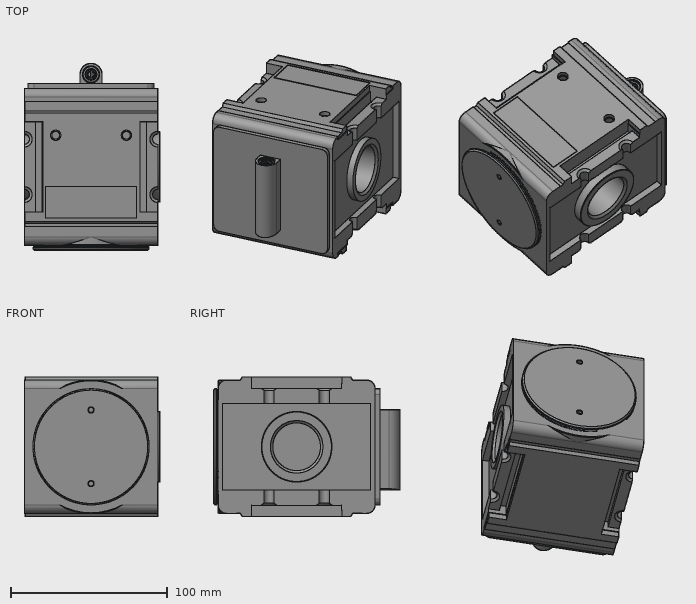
import cadquery as cq
import math

BODY_WIDTH = 85.0
BODY_DEPTH = 100.0
BODY_HEIGHT = 85.0
CORNER_RADIUS = 5.5
HALF_WIDTH = BODY_WIDTH / 2
HALF_HEIGHT = BODY_HEIGHT / 2

PAD_RISE = 2.0
PAD_FRONT = 14.0
PAD_BACK = 85.7
PAD_SLOPE = 1.3
PAD_TOP = HALF_HEIGHT + PAD_RISE

RELIEF_FRONT = 11.9
RELIEF_BACK = 91.6
RELIEF_LEVEL = 40.3
RELIEF_STEP = 0.5

BAND_DROP = 0.1
BAND_LEVEL = HALF_HEIGHT - BAND_DROP

SLOT_FRONT = 21.3
SLOT_BACK = 78.4
SLOT_FLOOR = 37.2
SLOT_INNER_X = 31.0
TRENCH_OUTER_X = 35.3
TRENCH_FLOOR = 32.5

BOLT_DIAMETER = 6.5
BOLT_SINK_DIAMETER = 10.0
BOLT_SINK_DEPTH = 1.3
BOLT_PLACES_Y = (32.4, 67.6)

POCKET_FRONT = 2.9
POCKET_BACK = 96.9
POCKET_HALF_HEIGHT = 27.5
POCKET_DEPTH = 4.3
PORT_Y = 50.0
LEFT_RING_DIAMETER = 41.0
RIGHT_RING_DIAMETER = 45.0
RIGHT_RING_RISE = 1.5
RIGHT_RING_CHAMFER = 0.4
BORE_DIAMETER = 30.3
BORE_DEPTH = 17.5
BORE_CHAMFER = 1.5

TAP_DIAMETER = 5.0
TAP_MOUTH_DIAMETER = 6.5
TAP_MOUTH_DEPTH = 2.9
TAP_DEPTH = 7.1
TAP_X = 22.5
TAP_Y = 70.1
LABEL_WIDTH = 58.1
LABEL_FRONT = 17.5
LABEL_BACK = 37.5
LABEL_DEPTH = 0.4

FLANGE_CHAMFER = 0.5
NECK_DIAMETER = 60.0
NECK_LENGTH = 0.7
CAP_DIAMETER = 74.0
CAP_THICKNESS = 2.4
CAP_FRONT_CHAMFER = 1.0
CAP_BACK_CHAMFER = 0.5
CAP_HOLE_DIAMETER = 3.2
CAP_HOLE_SINK_DIAMETER = 3.9
CAP_HOLE_DEPTH = 2.4
CAP_HOLE_Z = 23.5

GROOVE_DEPTH = 0.7
GROOVE_MIDDLES = (38.5, 218.5)
GROOVE_SPREAD = 70.5

PLATE_WIDTH = 80.3
PLATE_HEIGHT = 74.1
PLATE_THICKNESS = 3.1
PLATE_RADIUS = 3.9
PLATE_BACK = BODY_DEPTH + PLATE_THICKNESS
LUG_WIDTH = 14.2
LUG_LENGTH = 12.9
LUG_TOP = 23.7
LUG_BOTTOM_RADIUS = 27.6
LUG_AXIS_Y = PLATE_BACK + LUG_LENGTH - LUG_WIDTH / 2

SEAT_DIAMETER = 10.0
SEAT_DEPTH = 1.2
SEAT_CHAMFER = 0.5
SCREW_HOLE_DIAMETER = 6.5
SCREW_HOLE_DEPTH = 2.4
SCREW_HOLE_CHAMFER = 0.5
SCREW_DIAMETER = 4.9
SCREW_RECESS = 0.6
SCREW_CHAMFER = 0.6
SCREW_SLOT_WIDTH = 1.0
SCREW_SLOT_DEPTH = 1.0


def block(x_range, y_range, z_range):
    """Box spanning the given ranges; the ends of a range may come in any order."""
    spans = [sorted(ends) for ends in (x_range, y_range, z_range)]
    sizes = [high - low for low, high in spans]
    corner = tuple(low for low, high in spans)
    return cq.Workplane("XY").box(*sizes, centered=False).translate(corner)


def cylinder(start, direction, diameter, length):
    return cq.Workplane(cq.Solid.makeCylinder(diameter / 2, length, cq.Vector(*start), cq.Vector(*direction)))


def cone(start, direction, start_diameter, end_diameter, length):
    return cq.Workplane(
        cq.Solid.makeCone(
            start_diameter / 2, end_diameter / 2, length, cq.Vector(*start), cq.Vector(*direction)
        )
    )


def sunk_hole(start, direction, diameter, depth, sink_diameter, sink_depth):
    """Cutter for a blind hole with a conical mouth at its start."""
    mouth = cone(start, direction, sink_diameter, diameter, sink_depth)
    return cylinder(start, direction, diameter, depth).union(mouth)


def make_body():
    across = (-HALF_WIDTH, HALF_WIDTH)
    body = block(across, (0, BODY_DEPTH), (-HALF_HEIGHT, HALF_HEIGHT))
    body = body.edges("|X").fillet(CORNER_RADIUS)
    for side in (-1, 1):
        body = body.cut(block(across, (RELIEF_FRONT, RELIEF_BACK), (side * BAND_LEVEL, side * HALF_HEIGHT)))
    pads = (
        cq.Workplane("YZ", origin=(-HALF_WIDTH, 0, 0))
        .moveTo(PAD_FRONT, BAND_LEVEL)
        .lineTo(PAD_FRONT + PAD_SLOPE, PAD_TOP)
        .lineTo(PAD_BACK - PAD_SLOPE, PAD_TOP)
        .lineTo(PAD_BACK, BAND_LEVEL)
        .lineTo(PAD_BACK, -BAND_LEVEL)
        .lineTo(PAD_BACK - PAD_SLOPE, -PAD_TOP)
        .lineTo(PAD_FRONT + PAD_SLOPE, -PAD_TOP)
        .lineTo(PAD_FRONT, -BAND_LEVEL)
        .close()
        .extrude(BODY_WIDTH)
    )
    flange = cylinder((0, 0, 0), (0, 1, 0), BODY_HEIGHT, CORNER_RADIUS)
    flange = flange.faces("<Y").chamfer(FLANGE_CHAMFER)
    return body.union(pads).union(flange)


def cut_reliefs(body):
    """Set back the -X face beside the pads, the back slot ends and the -X slot walls."""
    face = (-HALF_WIDTH, -HALF_WIDTH + RELIEF_STEP)
    left_slot = (-HALF_WIDTH, -SLOT_INNER_X + RELIEF_STEP)
    right_slot = (SLOT_INNER_X, HALF_WIDTH)
    for side in (-1, 1):
        levels = (side * RELIEF_LEVEL, side * PAD_TOP)
        body = body.cut(block(face, (RELIEF_FRONT, RELIEF_BACK), levels))
        for slot in (left_slot, right_slot):
            body = body.cut(block(slot, (SLOT_FRONT, SLOT_BACK + RELIEF_STEP), levels))
    return body


def cut_slots(body):
    length = (SLOT_FRONT, SLOT_BACK)
    for end in (-1, 1):
        for side in (-1, 1):
            slot_x = (end * SLOT_INNER_X, end * HALF_WIDTH)
            trench_x = (end * SLOT_INNER_X, end * TRENCH_OUTER_X)
            body = body.cut(block(slot_x, length, (side * SLOT_FLOOR, side * PAD_TOP)))
            body = body.cut(block(trench_x, length, (side * TRENCH_FLOOR, side * PAD_TOP)))
            for y in BOLT_PLACES_Y:
                body = body.cut(
                    sunk_hole(
                        (end * HALF_WIDTH, y, side * SLOT_FLOOR),
                        (0, 0, -side),
                        BOLT_DIAMETER,
                        SLOT_FLOOR - POCKET_HALF_HEIGHT,
                        BOLT_SINK_DIAMETER,
                        BOLT_SINK_DEPTH,
                    )
                )
    return body


def add_port(body, end, ring_diameter, ring_rise, ring_chamfer):
    """Side pocket with a bored ring boss on the X face given by end (-1 or 1)."""
    floor_x = end * (HALF_WIDTH - POCKET_DEPTH)
    mouth_x = end * (HALF_WIDTH + ring_rise)
    heights = (-POCKET_HALF_HEIGHT, POCKET_HALF_HEIGHT)
    body = body.cut(block((floor_x, end * HALF_WIDTH), (POCKET_FRONT, POCKET_BACK), heights))
    ring = cylinder((floor_x, PORT_Y, 0), (end, 0, 0), ring_diameter, POCKET_DEPTH + ring_rise)
    if ring_chamfer:
        ring = ring.faces(">X" if end > 0 else "<X").chamfer(ring_chamfer)
    bore = sunk_hole(
        (mouth_x, PORT_Y, 0),
        (-end, 0, 0),
        BORE_DIAMETER,
        BORE_DEPTH + ring_rise,
        BORE_DIAMETER + 2 * BORE_CHAMFER,
        BORE_CHAMFER,
    )
    return body.union(ring).cut(bore)


def cut_top_details(body):
    for x in (-TAP_X, TAP_X):
        mouth = (x, TAP_Y, PAD_TOP)
        down = (0, 0, -1)
        body = body.cut(cylinder(mouth, down, TAP_DIAMETER, TAP_DEPTH))
        body = body.cut(cylinder(mouth, down, TAP_MOUTH_DIAMETER, TAP_MOUTH_DEPTH))
    label_x = (-LABEL_WIDTH / 2, LABEL_WIDTH / 2)
    return body.cut(block(label_x, (LABEL_FRONT, LABEL_BACK), (PAD_TOP - LABEL_DEPTH, PAD_TOP)))


def ring_point(radius, degrees):
    angle = math.radians(degrees)
    return (radius * math.cos(angle), radius * math.sin(angle))


def cut_front_grooves(body):
    """Two sectors of a flat disc; the cap neck fills their middle again."""
    radius = CAP_DIAMETER / 2
    for middle in GROOVE_MIDDLES:
        sector = (
            cq.Workplane("XZ")
            .lineTo(*ring_point(radius, middle - GROOVE_SPREAD))
            .threePointArc(ring_point(radius, middle), ring_point(radius, middle + GROOVE_SPREAD))
            .close()
            .extrude(-GROOVE_DEPTH)
        )
        body = body.cut(sector)
    return body


def make_cap():
    cap_front = -NECK_LENGTH - CAP_THICKNESS
    cap = cylinder((0, cap_front, 0), (0, 1, 0), CAP_DIAMETER, CAP_THICKNESS)
    cap = cap.faces("<Y").chamfer(CAP_FRONT_CHAMFER)
    cap = cap.faces(">Y").chamfer(CAP_BACK_CHAMFER)
    cap = cap.union(cylinder((0, -NECK_LENGTH, 0), (0, 1, 0), NECK_DIAMETER, NECK_LENGTH + GROOVE_DEPTH))
    sink_depth = (CAP_HOLE_SINK_DIAMETER - CAP_HOLE_DIAMETER) / 2
    for z in (-CAP_HOLE_Z, CAP_HOLE_Z):
        cap = cap.cut(
            sunk_hole(
                (0, cap_front, z),
                (0, 1, 0),
                CAP_HOLE_DIAMETER,
                CAP_HOLE_DEPTH,
                CAP_HOLE_SINK_DIAMETER,
                sink_depth,
            )
        )
    return cap


def make_plate():
    plate = block(
        (-PLATE_WIDTH / 2, PLATE_WIDTH / 2),
        (BODY_DEPTH, PLATE_BACK),
        (-PLATE_HEIGHT / 2, PLATE_HEIGHT / 2),
    )
    return plate.edges("|Y").fillet(PLATE_RADIUS)


def make_lug():
    """Upright lug with a round back; its underside follows a circle about the Y axis."""
    half = LUG_WIDTH / 2
    shoulder_z = -math.sqrt(LUG_BOTTOM_RADIUS**2 - half**2)
    front_shape = (
        cq.Workplane("XZ", origin=(0, PLATE_BACK, 0))
        .moveTo(-half, LUG_TOP)
        .lineTo(half, LUG_TOP)
        .lineTo(half, shoulder_z)
        .threePointArc((0, -LUG_BOTTOM_RADIUS), (-half, shoulder_z))
        .close()
        .extrude(-LUG_LENGTH)
    )
    plan_shape = (
        cq.Workplane("XY", origin=(0, 0, -LUG_BOTTOM_RADIUS))
        .moveTo(-half, PLATE_BACK)
        .lineTo(half, PLATE_BACK)
        .lineTo(half, LUG_AXIS_Y)
        .threePointArc((0, LUG_AXIS_Y + half), (-half, LUG_AXIS_Y))
        .close()
        .extrude(LUG_TOP + LUG_BOTTOM_RADIUS)
    )
    return front_shape.intersect(plan_shape)


def add_screw(lug):
    down = (0, 0, -1)
    seat_z = LUG_TOP - SEAT_DEPTH
    hole_floor = seat_z - SCREW_HOLE_DEPTH
    screw_top = seat_z - SCREW_RECESS
    seat = sunk_hole(
        (0, LUG_AXIS_Y, LUG_TOP),
        down,
        SEAT_DIAMETER,
        SEAT_DEPTH,
        SEAT_DIAMETER + 2 * SEAT_CHAMFER,
        SEAT_CHAMFER,
    )
    hole = sunk_hole(
        (0, LUG_AXIS_Y, seat_z),
        down,
        SCREW_HOLE_DIAMETER,
        SCREW_HOLE_DEPTH,
        SCREW_HOLE_DIAMETER + 2 * SCREW_HOLE_CHAMFER,
        SCREW_HOLE_CHAMFER,
    )
    screw = cylinder((0, LUG_AXIS_Y, hole_floor), (0, 0, 1), SCREW_DIAMETER, screw_top - hole_floor)
    screw = screw.faces(">Z").chamfer(SCREW_CHAMFER)
    slot = block(
        (-SCREW_SLOT_WIDTH / 2, SCREW_SLOT_WIDTH / 2),
        (LUG_AXIS_Y - SCREW_DIAMETER / 2, LUG_AXIS_Y + SCREW_DIAMETER / 2),
        (screw_top - SCREW_SLOT_DEPTH, screw_top),
    )
    return lug.cut(seat).cut(hole).union(screw.cut(slot))


housing = make_body()
housing = cut_reliefs(housing)
housing = cut_slots(housing)
housing = add_port(housing, -1, LEFT_RING_DIAMETER, 0, 0)
housing = add_port(housing, 1, RIGHT_RING_DIAMETER, RIGHT_RING_RISE, RIGHT_RING_CHAMFER)
housing = cut_top_details(housing)
housing = cut_front_grooves(housing)

result = housing.union(make_cap()).union(make_plate()).union(add_screw(make_lug()))